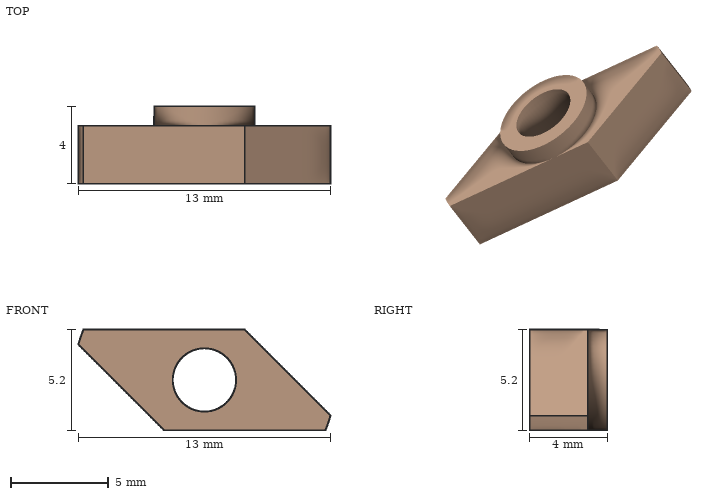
import cadquery as cq
import math

length = 12.99
height = 5.2
plate_thickness = 3.0
boss_length = 1.0
boss_diameter = height
hole_diameter = 3.25
tip_diameter = 13.5

half_length = length / 2
tip_radius = tip_diameter / 2
half_height = height / 2
total_depth = plate_thickness + boss_length

slope_end = (-half_length, math.sqrt(tip_radius**2 - half_length**2))
flat_end = (-math.sqrt(tip_radius**2 - half_height**2), half_height)

chord_x = slope_end[0] + flat_end[0]
chord_z = slope_end[1] + flat_end[1]
chord_reach = math.hypot(chord_x, chord_z)
tip_middle = (tip_radius * chord_x / chord_reach, tip_radius * chord_z / chord_reach)

obtuse_corner = (half_length - (half_height + slope_end[1]), half_height)


def half_turn(point):
    """Rotate an outline point by 180 degrees about the hole axis."""
    x, z = point
    return (-x, -z)


plate = (
    cq.Workplane("XZ")
    .moveTo(*slope_end)
    .threePointArc(tip_middle, flat_end)
    .lineTo(*obtuse_corner)
    .lineTo(*half_turn(slope_end))
    .threePointArc(half_turn(tip_middle), half_turn(flat_end))
    .lineTo(*half_turn(obtuse_corner))
    .close()
    .extrude(-plate_thickness)
)

boss = (
    cq.Workplane("XZ", origin=(0, plate_thickness, 0))
    .circle(boss_diameter / 2)
    .extrude(-boss_length)
)

hole = cq.Workplane("XZ").circle(hole_diameter / 2).extrude(-total_depth)

result = plate.union(boss).cut(hole)